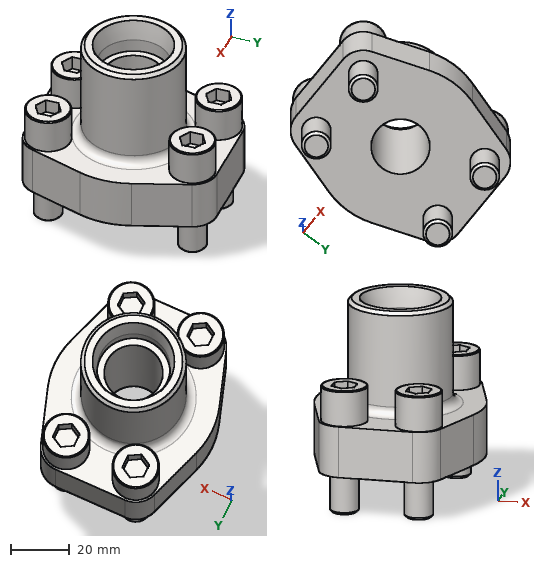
import cadquery as cq
import math

plate_length = 70.0
plate_width = 59.0
plate_thickness = 18.0
bolt_spacing_x = 26.2
bolt_spacing_y = 52.4

tube_diameter = 36.0
tube_height = 37.0
tube_rim_chamfer = 1.25
root_fillet_radius = 3.35

bore_diameter = 20.0
seat_diameter = 25.0
mouth_diameter = 28.0
mouth_half_angle = 12.0
seat_depth = 12.0

head_diameter = 16.0
head_height = 12.5
head_chamfer = 0.4
shank_diameter = 10.0
shank_protrusion = 14.5
shank_chamfer = 1.0
hex_across_flats = 8.0
hex_depth = 5.0

waist_radius = plate_width / 2
corner_radius = (plate_length - bolt_spacing_y) / 2
tube_top = plate_thickness + tube_height


def make_plate():
    """Plate whose straight flanks are tangent to the waist and corner arcs."""
    bolt_x = bolt_spacing_x / 2
    bolt_y = bolt_spacing_y / 2
    bolt_angle = math.atan2(bolt_y, bolt_x)
    bolt_distance = math.hypot(bolt_x, bolt_y)
    flank_angle = bolt_angle - math.acos((waist_radius - corner_radius) / bolt_distance)
    corner_angle = (flank_angle + math.pi / 2) / 2

    waist_x = waist_radius * math.cos(flank_angle)
    waist_y = waist_radius * math.sin(flank_angle)
    corner_x = bolt_x + corner_radius * math.cos(flank_angle)
    corner_y = bolt_y + corner_radius * math.sin(flank_angle)
    corner_mid_x = bolt_x + corner_radius * math.cos(corner_angle)
    corner_mid_y = bolt_y + corner_radius * math.sin(corner_angle)
    end_y = plate_length / 2

    return (
        cq.Workplane("XY")
        .moveTo(waist_x, -waist_y)
        .threePointArc((waist_radius, 0), (waist_x, waist_y))
        .lineTo(corner_x, corner_y)
        .threePointArc((corner_mid_x, corner_mid_y), (bolt_x, end_y))
        .lineTo(-bolt_x, end_y)
        .threePointArc((-corner_mid_x, corner_mid_y), (-corner_x, corner_y))
        .lineTo(-waist_x, waist_y)
        .threePointArc((-waist_radius, 0), (-waist_x, -waist_y))
        .lineTo(-corner_x, -corner_y)
        .threePointArc((-corner_mid_x, -corner_mid_y), (-bolt_x, -end_y))
        .lineTo(bolt_x, -end_y)
        .threePointArc((corner_mid_x, -corner_mid_y), (corner_x, -corner_y))
        .close()
        .extrude(plate_thickness)
    )


def make_tube():
    """Solid tube body with a chamfered rim and a concave fillet at its root."""
    tube_radius = tube_diameter / 2
    root_radius = tube_radius + root_fillet_radius
    fillet_inset = root_fillet_radius * (1 - math.sqrt(0.5))
    return (
        cq.Workplane("XZ")
        .lineTo(root_radius, 0)
        .lineTo(root_radius, plate_thickness)
        .threePointArc(
            (tube_radius + fillet_inset, plate_thickness + fillet_inset),
            (tube_radius, plate_thickness + root_fillet_radius),
        )
        .lineTo(tube_radius, tube_top - tube_rim_chamfer)
        .lineTo(tube_radius - tube_rim_chamfer, tube_top)
        .lineTo(0, tube_top)
        .close()
        .revolve()
    )


def make_bore():
    """Cutter for the through hole, the seat and the conical mouth."""
    mouth_depth = (mouth_diameter - seat_diameter) / 2 / math.tan(math.radians(mouth_half_angle))
    return (
        cq.Workplane("XZ")
        .lineTo(bore_diameter / 2, 0)
        .lineTo(bore_diameter / 2, tube_top - seat_depth)
        .lineTo(seat_diameter / 2, tube_top - seat_depth)
        .lineTo(seat_diameter / 2, tube_top - mouth_depth)
        .lineTo(mouth_diameter / 2, tube_top)
        .lineTo(0, tube_top)
        .close()
        .revolve()
    )


def make_screw():
    """Screw on the Z axis, its head resting on the plate and its shank passing through."""
    hex_corner_diameter = hex_across_flats / math.cos(math.pi / 6)
    shank = (
        cq.Workplane("XY")
        .workplane(offset=-shank_protrusion)
        .circle(shank_diameter / 2)
        .extrude(shank_protrusion + plate_thickness)
        .faces("<Z")
        .chamfer(shank_chamfer)
    )
    head = (
        cq.Workplane("XY")
        .workplane(offset=plate_thickness)
        .circle(head_diameter / 2)
        .extrude(head_height)
        .faces(">Z")
        .chamfer(head_chamfer)
    )
    hex_socket = (
        cq.Workplane("XY")
        .workplane(offset=plate_thickness + head_height - hex_depth)
        .transformed(rotate=(0, 0, 90))
        .polygon(6, hex_corner_diameter)
        .extrude(hex_depth)
    )
    return shank.union(head).cut(hex_socket)


result = make_plate().union(make_tube()).cut(make_bore())

screw = make_screw()
for side_x in (-1, 1):
    for side_y in (-1, 1):
        bolt_position = (side_x * bolt_spacing_x / 2, side_y * bolt_spacing_y / 2, 0)
        result = result.union(screw.translate(bolt_position))